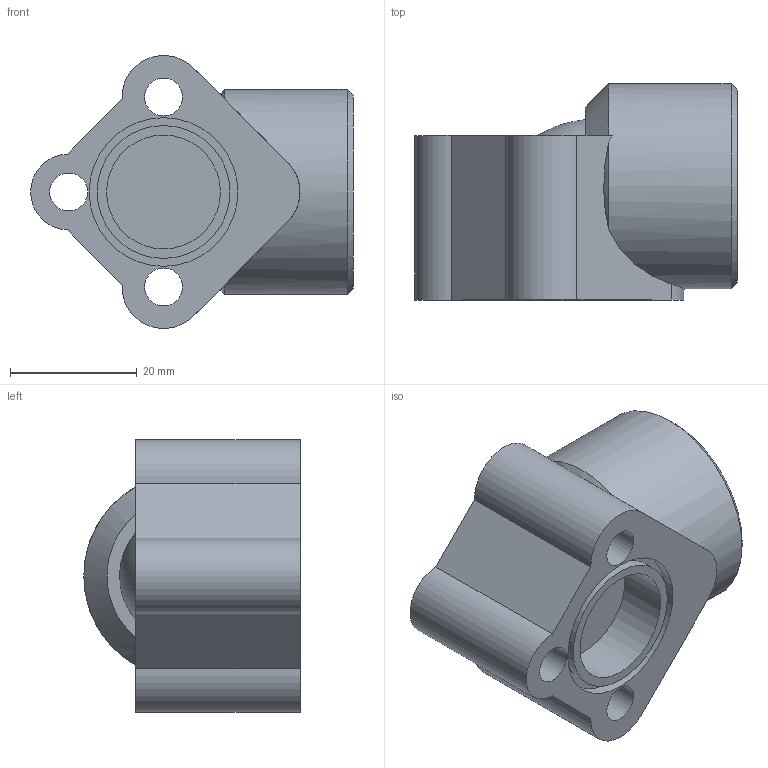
import cadquery as cq
import math

flange_thickness = 26.0
bolt_offset = 15.0
bolt_hole_diameter = 6.0
corner_radius = 6.575
ear_radius = 6.0
left_side_distance = 15.0

inlet_diameter = 18.0
inlet_depth = 8.0
groove_inner_diameter = 21.0
groove_outer_diameter = 23.5
groove_depth = 1.8

barrel_radius = 16.2
barrel_axis_y = 18.0
barrel_start_x = 6.0
barrel_end_x = 30.0
barrel_back_chamfer = 3.65
barrel_end_chamfer = 1.0

elbow_radius = 10.65
elbow_bend_radius = 8.0
quarter_turn = 90.0

sin45 = math.sqrt(0.5)


def circle_prism(x, z, radius, depth):
    """Cylinder along +Y from the front face, centred on (x, z)."""
    circle = cq.Workplane("XZ").center(x, z).circle(radius)
    return circle.extrude(-depth)


def make_flange():
    tangent_shift = corner_radius * sin45
    side_corner_z = left_side_distance / sin45
    ear_gap = left_side_distance - bolt_offset * sin45
    ear_shift = ear_gap * sin45
    outer_x = bolt_offset + tangent_shift
    outline = [
        (-bolt_offset - ear_shift, -ear_shift),
        (-bolt_offset - ear_shift, ear_shift),
        (0, side_corner_z),
        (tangent_shift, outer_x),
        (outer_x, tangent_shift),
        (outer_x, -tangent_shift),
        (tangent_shift, -outer_x),
        (0, -side_corner_z),
    ]
    flange = cq.Workplane("XZ").polyline(outline).close().extrude(-flange_thickness)
    for x, z in [(0, bolt_offset), (0, -bolt_offset), (bolt_offset, 0)]:
        flange = flange.union(circle_prism(x, z, corner_radius, flange_thickness))
    ear = circle_prism(-bolt_offset, 0, ear_radius, flange_thickness)
    return flange.union(ear)


def make_barrel():
    barrel = (
        cq.Workplane("YZ", origin=(barrel_start_x, barrel_axis_y, 0))
        .circle(barrel_radius)
        .extrude(barrel_end_x - barrel_start_x)
    )
    barrel = barrel.faces("<X").chamfer(barrel_back_chamfer)
    return barrel.faces(">X").chamfer(barrel_end_chamfer)


def make_elbow():
    """Outer half of a quarter-turn pipe bend from the inlet axis to the barrel axis."""
    bend_center_y = barrel_axis_y - elbow_bend_radius
    half_disc = (
        cq.Workplane("XZ", origin=(0, bend_center_y, 0))
        .moveTo(0, elbow_radius)
        .threePointArc((-elbow_radius, 0), (0, -elbow_radius))
        .close()
    )
    axis_start = (elbow_bend_radius, 0)
    axis_end = (elbow_bend_radius, -1)
    return half_disc.revolve(quarter_turn, axis_start, axis_end)


def cut_bolt_holes(body):
    for x, z in [(0, bolt_offset), (0, -bolt_offset), (-bolt_offset, 0)]:
        body = body.cut(circle_prism(x, z, bolt_hole_diameter / 2, flange_thickness))
    return body


def cut_inlet(body):
    bore = circle_prism(0, 0, inlet_diameter / 2, inlet_depth)
    groove = circle_prism(0, 0, groove_outer_diameter / 2, groove_depth)
    land = circle_prism(0, 0, groove_inner_diameter / 2, groove_depth)
    return body.cut(groove.cut(land)).cut(bore)


body = make_flange().union(make_barrel()).union(make_elbow())
result = cut_inlet(cut_bolt_holes(body))